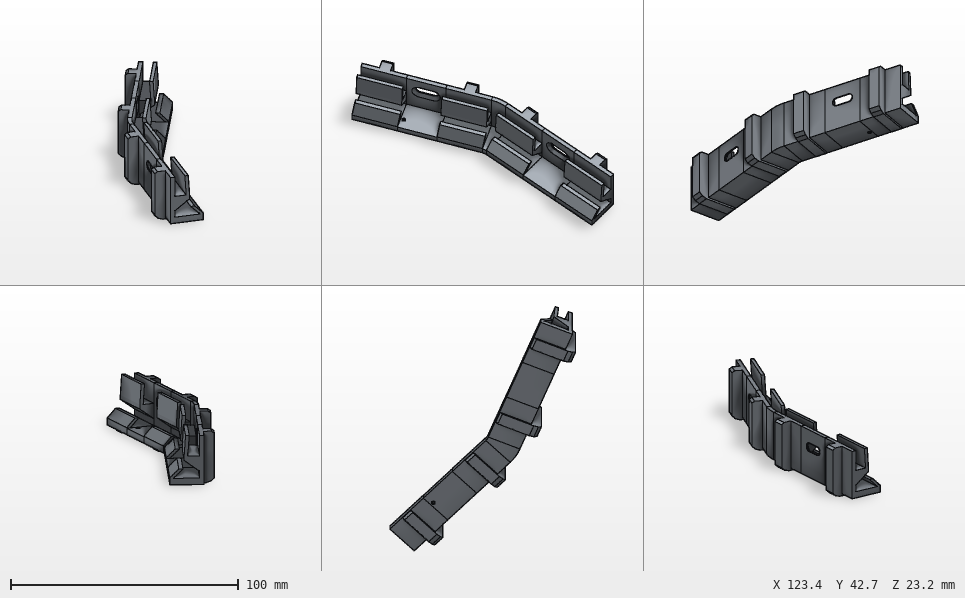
import cadquery as cq
bend_angle = 22.0
bend_radius = 20.2
clip_length = 21.0
plate_length = 18.1
arm_length = 2 * clip_length + plate_length

depth = 15.0
height = 22.2
wall_thickness = 2.0
floor_thickness = 3.0

lip_foot_height = 3.2
lip_rise = 4.0
lip_thickness = 1.8
lip_top_height = lip_foot_height + lip_rise

slot_floor_height = 12.9
slot_width_at_floor = 5.2
slot_width_at_top = 4.5
leg_thickness = 1.6
block_edge_height = 11.0
block_root_height = 6.0
block_depth = wall_thickness + slot_width_at_floor + leg_thickness

rib_width = 5.2
rib_projection = 4.8
rib_drop = 1.0
rib_back_depth = 14.8
rib_top_chamfer_run = 1.2
rib_top_chamfer_drop = 0.9
rib_nose_height = 1.2
rib_nose_run = 1.5
rib_ramp_run = 3.7

window_length = 10.1
window_width = 4.0
window_height = 14.0
window_land = 0.5
window_flare_angle = 45.0

pin_diameter = 0.7
pin_hole_diameter = 1.6
pin_depth = 10.3
pin_end_gap = 1.5


def extrude_along_x(profile_points, start_x, length):
    """Extrude a closed (depth, height) profile along X."""
    return cq.Workplane("YZ", origin=(start_x, 0, 0)).polyline(profile_points).close().extrude(length)


wall_and_floor_profile = [
    (0, 0),
    (depth, 0),
    (depth, floor_thickness),
    (wall_thickness, floor_thickness),
    (wall_thickness, height),
    (0, height),
]

lip_top_depth = depth - lip_rise
lip_inner_foot_depth = depth - lip_thickness - (floor_thickness - lip_foot_height)
leg_top_inner_depth = wall_thickness + slot_width_at_top
clip_profile = [
    (0, 0),
    (depth, 0),
    (depth, lip_foot_height),
    (lip_top_depth, lip_top_height),
    (lip_top_depth - lip_thickness, lip_top_height),
    (lip_inner_foot_depth, floor_thickness),
    (wall_thickness, floor_thickness),
    (wall_thickness, block_root_height),
    (block_depth, block_edge_height),
    (block_depth, slot_floor_height),
    (leg_top_inner_depth + leg_thickness, height),
    (leg_top_inner_depth, height),
    (block_depth - leg_thickness, slot_floor_height),
    (wall_thickness, slot_floor_height),
    (wall_thickness, height),
    (0, height),
]

rib_profile = [
    (0, height),
    (rib_top_chamfer_run - rib_projection, height),
    (-rib_projection, height - rib_top_chamfer_drop),
    (-rib_projection, rib_nose_height),
    (rib_nose_run - rib_projection, rib_nose_height - rib_nose_run),
    (rib_ramp_run - rib_projection, -rib_drop),
    (rib_back_depth - rib_drop, -rib_drop),
    (rib_back_depth, 0),
    (0, 0),
]


def make_clip(start_x):
    """Clip segment with its rib at mid length."""
    clip = extrude_along_x(clip_profile, start_x, clip_length)
    rib_start_x = start_x + (clip_length - rib_width) / 2
    return clip.union(extrude_along_x(rib_profile, rib_start_x, rib_width))


def make_window(center_x):
    """Cutter for a window: a straight slot, then a flared slot that opens inward."""
    land = (
        cq.Workplane("XZ", origin=(center_x, 0, window_height))
        .slot2D(window_length, window_width)
        .extrude(-window_land)
    )
    flare = (
        cq.Workplane("XZ", origin=(center_x, window_land, window_height))
        .slot2D(window_length, window_width)
        .extrude(window_land - wall_thickness, taper=-window_flare_angle)
    )
    return land.union(flare)


def make_plate(start_x):
    """Plain segment with a window at the middle of its wall."""
    plate = extrude_along_x(wall_and_floor_profile, start_x, plate_length)
    return plate.cut(make_window(start_x + plate_length / 2))


def make_corner():
    """Wall and floor swept round the bend axis, from the right arm to the left arm."""
    return (
        cq.Workplane("YZ")
        .polyline(wall_and_floor_profile)
        .close()
        .revolve(bend_angle, (bend_radius, 1.2, 0), (bend_radius, 0, 0))
    )


def turn_to_left_arm(body):
    """Swing a body that lies along -X round the bend axis into the left arm."""
    return body.rotate((0, bend_radius, 0), (0, bend_radius, 1), -bend_angle)


def floor_cylinder(diameter):
    """Cylinder through the floor on the pin axis."""
    pin_x = clip_length + plate_length - pin_end_gap
    return (
        cq.Workplane("XY", origin=(pin_x, pin_depth, 0))
        .circle(diameter / 2)
        .extrude(floor_thickness)
    )


clip_starts = [0, clip_length + plate_length]

right_clips = [make_clip(start) for start in clip_starts]
left_clips = [turn_to_left_arm(make_clip(start - arm_length)) for start in clip_starts]

right_plate = make_plate(clip_length).cut(floor_cylinder(pin_hole_diameter))
left_plate = turn_to_left_arm(make_plate(clip_length - arm_length))

corner = make_corner()
pin = floor_cylinder(pin_diameter)

bodies = [*left_clips, left_plate, corner, *right_clips, right_plate, pin]
result = cq.Compound.makeCompound([body.val() for body in bodies])